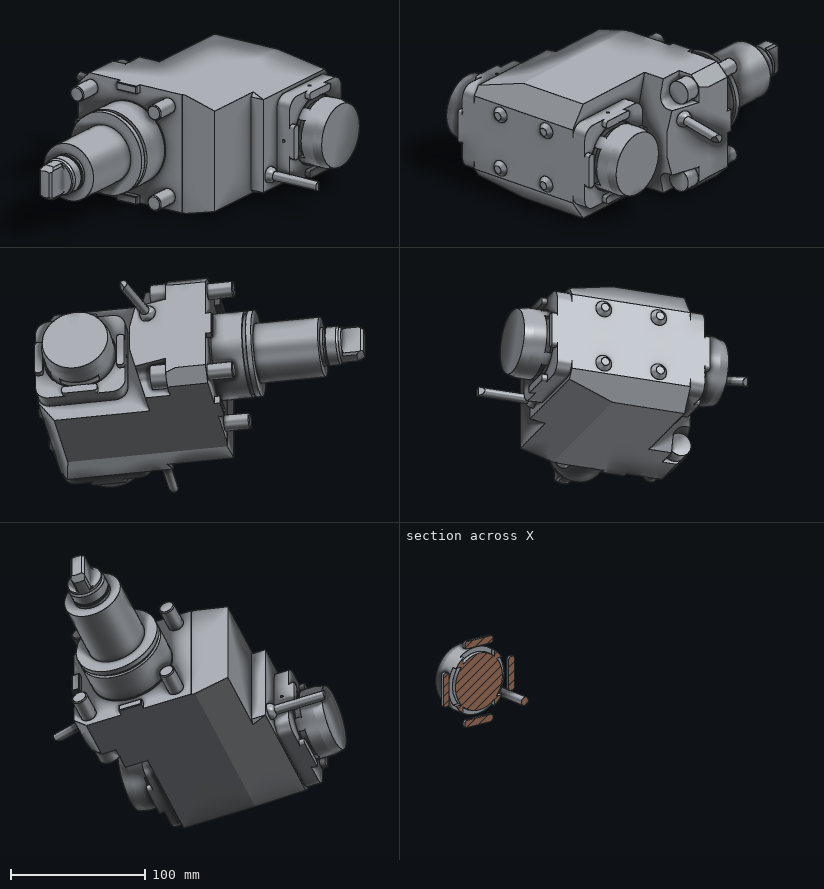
import cadquery as cq
import math


HALF_HEIGHT = 47.0
SLOPE_ANGLE = 15.0
SLOPE = math.tan(math.radians(SLOPE_ANGLE))
FLANGE_LEFT = -47.0
CORNER_CHAMFER = 10.0
HEAD_CENTRE_X = 40.0
HEAD_HALF_WIDTH = 47.5
HEAD_LEFT = HEAD_CENTRE_X - HEAD_HALF_WIDTH
HEAD_RIGHT = HEAD_CENTRE_X + HEAD_HALF_WIDTH
REAR_Y = 133.1
REAR_CHAMFER_LENGTH = 12.2
REAR_CHAMFER_HEIGHT = 17.0
TAPER_START_X = 50.0
LOWER_RIGHT = 76.3
STEP_Y = 47.5
FLANGE_SLANT_Y = 22.0
FLANGE_REAR_Y = 58.6
FLANGE_RIDGE_HALF = 10.0
PAD_THICKNESS = 0.6

BOLT_X = 35.0
BOLT_Z = 36.0
BOLT_DIAMETER = 12.0
BOLT_PROJECTION = 20.0
BOLT_CHAMFER = 0.8
BOLT_HEAD_DIAMETER = 18.0
BOLT_HEAD_HEIGHT = 12.0
BOLT_SEAT_Y = 30.0
BOLT_POCKET_RADIUS = 9.5

KEY_LENGTH = 18.0
KEY_WIDTH = 6.2
KEY_PROJECTION = 5.4
KEY_CHAMFER = 0.6

PILOT_DIAMETER = 65.0
UNDERCUT_DIAMETER = 64.6
UNDERCUT_Y = -2.0
PILOT_END_Y = -32.3
SEAL_GROOVE_DIAMETER = 60.2
SEAL_GROOVE_START_Y = -25.4
SEAL_GROOVE_END_Y = -28.3
SHANK_DIAMETER = 45.0
SHANK_END_Y = -81.0
COLLAR_DIAMETER = 29.0
COLLAR_START_Y = -85.5
COLLAR_END_Y = -93.2
COLLAR_GROOVE_DIAMETER = 27.0
COLLAR_GROOVE_START_Y = -83.3
COLLAR_GROOVE_END_Y = -84.5
TIP_Y = -112.4
TANG_SEAT_Y = -95.0
TANG_ROOT_Y = -97.0
TANG_WIDTH = 11.0
TANG_DIAMETER = 27.0
TANG_CHAMFER = 1.4
TANG_TIP_CHAMFER = 1.7
TANG_ROOT_RADIUS = 1.3
TANG_NOSE_LENGTH = 5.0
TANG_NOSE_DIAMETER = 21.0

SPINDLE_SIDE = 68.0
SPINDLE_Y = REAR_Y - SPINDLE_SIDE / 2
SPINDLE_CORNER = 10.0
SPINDLE_THICKNESS = 11.5
QUARTER_TURNS = (0, 90, 180, 270)
LEFT_NOTCH_ANGLES = QUARTER_TURNS[1:]
LUG_LENGTH = 27.0
LUG_WIDTH = 6.0
LUG_HEIGHT = 4.2
LUG_CORNER = 2.3
NUT_BORE_DIAMETER = 55.0
NUT_BORE_DEPTH = 2.0
NUT_DIAMETER = 53.0
NUT_END_DIAMETER = 49.6
NUT_LENGTH = 22.8
NUT_TAPER_LENGTH = 7.0
NUT_NOTCH_FLOOR = 45.0
NUT_NOTCH_WIDTH = 29.4
NUT_NOTCH_DEPTH = 5.4
OIL_HOLE_DIAMETER = 2.1
OIL_HOLE_DEPTH = 3.0
OIL_HOLE_OFFSET = 6.0

SCREW_SPACING = 44.0
SCREW_BASE_DIAMETER = 12.6
SCREW_TOP_DIAMETER = 6.37
SCREW_HEIGHT = 3.6

PIPE_DIAMETER = 7.0
PIPE_BALL_DIAMETER = 12.4
PIPE_SEAT_DEPTH = 3.0
PIPE_BEVEL_DEPTH = 3.0
PIPE_BEVEL_LENGTH = 4.0
RIGHT_PIPE_Y = 55.5
RIGHT_PIPE_Z = -24.8
RIGHT_PIPE_END_X = 131.9
LEFT_PIPE_Y = 44.0
LEFT_PIPE_Z = 17.2
LEFT_PIPE_LENGTH = 44.25
LEFT_PIPE_ROLL = 210.0


def box(x_range, y_range, z_range):
    """Box between the given limits on each axis."""
    size = [high - low for low, high in (x_range, y_range, z_range)]
    corner = (x_range[0], y_range[0], z_range[0])
    return cq.Workplane("XY").box(*size, centered=False).translate(corner)


def slant_x(y):
    """X of the slanted left side of the flange at a given Y."""
    return FLANGE_LEFT + (y - FLANGE_SLANT_Y) * SLOPE


def prism_along_x(yz_points, x_start, x_end):
    return (
        cq.Workplane("YZ", origin=(x_start, 0, 0)).polyline(yz_points).close().extrude(x_end - x_start)
    )


def both_sides(solid):
    """The solid together with its mirror image below Z = 0."""
    return solid.union(solid.mirror("XY"))


def turned_along_y(stations):
    """Solid of revolution about Y from (y, diameter) stations."""
    points = [(diameter / 2, y) for y, diameter in stations]
    outline = [(0, stations[0][0])] + points + [(0, stations[-1][0])]
    return cq.Workplane("XY").polyline(outline).close().revolve(360, (0, 0, 0), (0, 1, 0))


def make_housing():
    """Plan outline crossed with the end outline, then bevelled and pocketed for the bolt heads."""
    h = HALF_HEIGHT
    side_z = h - (HEAD_RIGHT - TAPER_START_X) * SLOPE
    plan = [
        (FLANGE_LEFT, 0),
        (FLANGE_LEFT, FLANGE_SLANT_Y),
        (slant_x(FLANGE_REAR_Y), FLANGE_REAR_Y),
        (HEAD_LEFT, FLANGE_REAR_Y),
        (HEAD_LEFT, REAR_Y),
        (HEAD_RIGHT, REAR_Y),
        (HEAD_RIGHT, STEP_Y),
        (LOWER_RIGHT, STEP_Y),
        (LOWER_RIGHT, 0),
    ]
    end_outline = [
        (FLANGE_LEFT, -h + CORNER_CHAMFER),
        (FLANGE_LEFT, h - CORNER_CHAMFER),
        (FLANGE_LEFT + CORNER_CHAMFER, h),
        (TAPER_START_X, h),
        (HEAD_RIGHT, side_z),
        (HEAD_RIGHT, -side_z),
        (TAPER_START_X, -h),
        (FLANGE_LEFT + CORNER_CHAMFER, -h),
    ]
    housing = cq.Workplane("XY", origin=(0, 0, -h)).polyline(plan).close().extrude(2 * h)
    housing = housing.intersect(cq.Workplane("XZ").polyline(end_outline).close().extrude(-REAR_Y))

    rear_chamfer = [
        (REAR_Y - REAR_CHAMFER_LENGTH, h),
        (REAR_Y, h),
        (REAR_Y, h - REAR_CHAMFER_HEIGHT),
    ]
    housing = housing.cut(both_sides(prism_along_x(rear_chamfer, HEAD_LEFT, HEAD_RIGHT)))

    flange_slope = [
        (FLANGE_REAR_Y, FLANGE_RIDGE_HALF),
        (FLANGE_REAR_Y, h),
        (FLANGE_REAR_Y - (h - FLANGE_RIDGE_HALF) * SLOPE, h),
    ]
    housing = housing.cut(both_sides(prism_along_x(flange_slope, FLANGE_LEFT, HEAD_LEFT)))

    step_bevel = [(STEP_Y, side_z), (STEP_Y, h), (STEP_Y + h - side_z, h)]
    housing = housing.cut(both_sides(prism_along_x(step_bevel, LOWER_RIGHT, HEAD_RIGHT)))

    pad = box((FLANGE_LEFT, -FLANGE_LEFT), (-PAD_THICKNESS, 0), (-h, h))
    pad = pad.edges("|Y and <X").chamfer(CORNER_CHAMFER)
    housing = housing.union(pad)

    pocket = box(
        (FLANGE_LEFT, -BOLT_X + BOLT_POCKET_RADIUS),
        (BOLT_SEAT_Y, FLANGE_REAR_Y),
        (BOLT_Z - BOLT_POCKET_RADIUS, h),
    )
    pocket = pocket.edges("|Y and >X and <Z").fillet(BOLT_POCKET_RADIUS)
    return housing.cut(both_sides(pocket))


def make_bolts():
    """Four bolt shanks on the mounting face and the two exposed heads on the left."""
    shank = turned_along_y([
        (0, BOLT_DIAMETER),
        (-BOLT_PROJECTION + BOLT_CHAMFER, BOLT_DIAMETER),
        (-BOLT_PROJECTION, BOLT_DIAMETER - 2 * BOLT_CHAMFER),
    ])
    head = turned_along_y([
        (BOLT_SEAT_Y, BOLT_HEAD_DIAMETER),
        (BOLT_SEAT_Y + BOLT_HEAD_HEIGHT, BOLT_HEAD_DIAMETER),
    ])
    upper = (
        shank.translate((BOLT_X, 0, BOLT_Z))
        .union(shank.translate((-BOLT_X, 0, BOLT_Z)))
        .union(head.translate((-BOLT_X, 0, BOLT_Z)))
    )
    return both_sides(upper)


def make_keys():
    y_range = (-KEY_PROJECTION, 0)
    half = KEY_LENGTH / 2
    top = box((-half, half), y_range, (HALF_HEIGHT - KEY_WIDTH, HALF_HEIGHT))
    side = box((FLANGE_LEFT, FLANGE_LEFT + KEY_WIDTH), y_range, (-half, half))
    return both_sides(top.faces("<Y").chamfer(KEY_CHAMFER)).union(side.faces("<Y").chamfer(KEY_CHAMFER))


def make_shank():
    stations = [
        (0, UNDERCUT_DIAMETER),
        (UNDERCUT_Y, UNDERCUT_DIAMETER),
        (UNDERCUT_Y, PILOT_DIAMETER),
        (SEAL_GROOVE_START_Y, PILOT_DIAMETER),
        (SEAL_GROOVE_START_Y, SEAL_GROOVE_DIAMETER),
        (SEAL_GROOVE_END_Y, SEAL_GROOVE_DIAMETER),
        (SEAL_GROOVE_END_Y, PILOT_DIAMETER),
        (PILOT_END_Y, PILOT_DIAMETER),
        (PILOT_END_Y, SHANK_DIAMETER),
        (SHANK_END_Y, SHANK_DIAMETER),
        (SHANK_END_Y, COLLAR_DIAMETER),
        (COLLAR_GROOVE_START_Y, COLLAR_DIAMETER),
        (COLLAR_GROOVE_START_Y, COLLAR_GROOVE_DIAMETER),
        (COLLAR_GROOVE_END_Y, COLLAR_GROOVE_DIAMETER),
        (COLLAR_START_Y, COLLAR_DIAMETER),
        (COLLAR_END_Y, COLLAR_DIAMETER),
        (TANG_SEAT_Y, TANG_DIAMETER),
        (TANG_ROOT_Y, TANG_DIAMETER),
    ]
    shank = turned_along_y(stations).union(make_tang())
    near_root = cq.selectors.BoxSelector(
        (-TANG_WIDTH, TANG_ROOT_Y - TANG_ROOT_RADIUS, -TANG_DIAMETER),
        (TANG_WIDTH, TANG_ROOT_Y + TANG_ROOT_RADIUS, TANG_DIAMETER),
    )
    return shank.edges("|Z").edges(near_root).fillet(TANG_ROOT_RADIUS)


def make_tang():
    """Flat blade cut from a round bar, with bevelled edges and a conical nose."""
    half = TANG_WIDTH / 2
    slab = box((-half, half), (TIP_Y, TANG_ROOT_Y), (-TANG_DIAMETER, TANG_DIAMETER))
    round_bar = turned_along_y([(TANG_ROOT_Y, TANG_DIAMETER), (TIP_Y, TANG_DIAMETER)])
    blade = round_bar.intersect(slab).edges("|Y").chamfer(TANG_CHAMFER)
    nose = turned_along_y([
        (TANG_ROOT_Y, TANG_DIAMETER),
        (TIP_Y + TANG_NOSE_LENGTH, TANG_DIAMETER),
        (TIP_Y, TANG_NOSE_DIAMETER),
    ])
    tip_bevel = slab.edges("|Z and <Y").chamfer(TANG_TIP_CHAMFER)
    return blade.intersect(nose).intersect(tip_bevel)


def make_nut(notch_angles):
    """Spindle nut along local +Z, seated in the flange bore, notched at the given angles."""
    top = cq.Workplane("XY", origin=(0, 0, SPINDLE_THICKNESS))
    nut_base = cq.Workplane("XY", origin=(0, 0, SPINDLE_THICKNESS - NUT_BORE_DEPTH))
    nut = (
        nut_base.circle(NUT_DIAMETER / 2)
        .extrude(NUT_BORE_DEPTH + NUT_LENGTH - NUT_TAPER_LENGTH)
        .faces(">Z").workplane().circle(NUT_DIAMETER / 2)
        .workplane(offset=NUT_TAPER_LENGTH).circle(NUT_END_DIAMETER / 2)
        .loft(combine=True)
    )
    ring = top.circle(NUT_DIAMETER).circle(NUT_NOTCH_FLOOR / 2).extrude(NUT_NOTCH_DEPTH)
    slot = top.center(NUT_DIAMETER / 2, 0).rect(NUT_DIAMETER, NUT_NOTCH_WIDTH).extrude(NUT_NOTCH_DEPTH)
    notch = ring.intersect(slot)
    for angle in notch_angles:
        nut = nut.cut(notch.rotate((0, 0, 0), (0, 0, 1), angle))
    return nut


def make_lug():
    """Lug with rounded corners at the local +X side of the spindle flange."""
    top = cq.Workplane("XY", origin=(0, 0, SPINDLE_THICKNESS))
    lug = top.center((SPINDLE_SIDE - LUG_WIDTH) / 2, 0).rect(LUG_WIDTH, LUG_LENGTH).extrude(LUG_HEIGHT)
    return lug.edges("|Z").fillet(LUG_CORNER)


def make_spindle(notch_angles):
    """Square flange with four lugs and a nut, built along local +Z."""
    flange = cq.Workplane("XY").rect(SPINDLE_SIDE, SPINDLE_SIDE).extrude(SPINDLE_THICKNESS)
    flange = flange.edges("|Z").fillet(SPINDLE_CORNER)
    flange = flange.faces(">Z").workplane().hole(NUT_BORE_DIAMETER, NUT_BORE_DEPTH)
    spindle = flange.union(make_nut(notch_angles))
    lug = make_lug()
    for angle in QUARTER_TURNS:
        spindle = spindle.union(lug.rotate((0, 0, 0), (0, 0, 1), angle))
    return spindle


def make_oil_holes():
    """Radial oil holes in the +Z and -Y sides of both spindle flanges."""
    holes = cq.Workplane("XY")
    reach = SPINDLE_SIDE / 2
    for x in (HEAD_LEFT - OIL_HOLE_OFFSET, HEAD_RIGHT + OIL_HOLE_OFFSET):
        hole = cq.Workplane("XY").circle(OIL_HOLE_DIAMETER / 2).extrude(OIL_HOLE_DEPTH)
        hole = hole.translate((0, 0, reach - OIL_HOLE_DEPTH))
        front_hole = hole.rotate((0, 0, 0), (1, 0, 0), 90)
        holes = holes.add(hole.translate((x, SPINDLE_Y, 0))).add(front_hole.translate((x, SPINDLE_Y, 0)))
    return holes


def make_screws():
    head = turned_along_y([(REAR_Y, SCREW_BASE_DIAMETER), (REAR_Y + SCREW_HEIGHT, SCREW_TOP_DIAMETER)])
    offset = SCREW_SPACING / 2
    pair = head.translate((HEAD_CENTRE_X - offset, 0, offset))
    pair = pair.union(head.translate((HEAD_CENTRE_X + offset, 0, offset)))
    return both_sides(pair)


def make_pipe(length):
    """Pipe on a ball seat, pointing along +X from the origin, bevelled on its +Y side."""
    pipe_radius = PIPE_DIAMETER / 2
    ball_radius = PIPE_BALL_DIAMETER / 2
    ball_end = math.sqrt(ball_radius**2 - pipe_radius**2)
    middle = ball_radius * math.sqrt(0.5)
    pipe = (
        cq.Workplane("XY")
        .moveTo(-PIPE_SEAT_DEPTH, 0)
        .lineTo(-PIPE_SEAT_DEPTH, ball_radius)
        .lineTo(0, ball_radius)
        .threePointArc((middle, middle), (ball_end, pipe_radius))
        .lineTo(length, pipe_radius)
        .lineTo(length, 0)
        .close()
        .revolve(360, (0, 0, 0), (1, 0, 0))
    )
    bevel = (
        cq.Workplane("XY", origin=(0, 0, -pipe_radius))
        .moveTo(length, pipe_radius - PIPE_BEVEL_DEPTH)
        .lineTo(length, pipe_radius)
        .lineTo(length - PIPE_BEVEL_LENGTH, pipe_radius)
        .close()
        .extrude(PIPE_DIAMETER)
    )
    return pipe.cut(bevel)


def make_pipes():
    right = make_pipe(RIGHT_PIPE_END_X - HEAD_RIGHT).translate((HEAD_RIGHT, RIGHT_PIPE_Y, RIGHT_PIPE_Z))
    left = make_pipe(LEFT_PIPE_LENGTH).rotate((0, 0, 0), (1, 0, 0), LEFT_PIPE_ROLL)
    left = left.rotate((0, 0, 0), (0, 0, 1), 180 - SLOPE_ANGLE)
    return right.union(left.translate((slant_x(LEFT_PIPE_Y), LEFT_PIPE_Y, LEFT_PIPE_Z)))


left_spindle = make_spindle(LEFT_NOTCH_ANGLES).rotate((0, 0, 0), (0, 1, 0), -90)
left_spindle = left_spindle.rotate((0, 0, 0), (1, 0, 0), 90).translate((HEAD_LEFT, SPINDLE_Y, 0))
right_spindle = make_spindle(QUARTER_TURNS).rotate((0, 0, 0), (0, 1, 0), 90)
right_spindle = right_spindle.translate((HEAD_RIGHT, SPINDLE_Y, 0))

result = make_housing()
for component in (
    make_bolts(), make_keys(), make_shank(), left_spindle, right_spindle, make_screws(), make_pipes()
):
    result = result.union(component)
for hole in make_oil_holes().vals():
    result = result.cut(cq.Workplane(hole))